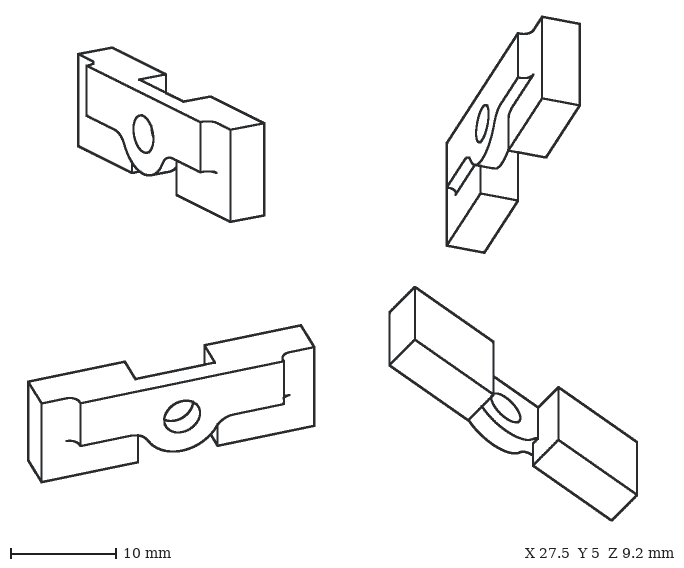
import cadquery as cq
import math

length = 27.5
height = 9.2
block_depth = 3.8

plate_rise = 1.2
plate_half_length = 10.25
plate_height = 5.0
cove_radius = 1.0
lobe_radius = 4.0
blend_radius = 2.0
hole_diameter = 3.6
hole_depth_below_top = 4.02

slot_width = 8.0
web_thickness = 2.0

front_y = -(block_depth + plate_rise) / 2
step_y = front_y + plate_rise
back_y = step_y + block_depth
top_z = height / 2
plate_bottom_z = top_z - plate_height
hole_z = top_z - hole_depth_below_top


def extrude_back(outline, start_y, depth):
    """Extrude a closed XZ outline toward +Y from start_y."""
    return outline.extrude(-depth).translate((0, start_y, 0))


def lobed_outline(half_length):
    """Plate outline whose lower edge blends tangentially into the hole lobe."""
    blend_z = plate_bottom_z - blend_radius
    drop = hole_z - blend_z
    blend_x = math.sqrt((lobe_radius + blend_radius) ** 2 - drop**2)
    joint_fraction = lobe_radius / (lobe_radius + blend_radius)
    joint_x = blend_x * joint_fraction
    joint_z = hole_z - drop * joint_fraction

    joint_angle = math.atan2(drop, -blend_x)
    middle_angle = (math.pi / 2 + joint_angle) / 2
    middle_x = blend_x + blend_radius * math.cos(middle_angle)
    middle_z = blend_z + blend_radius * math.sin(middle_angle)
    return (
        cq.Workplane("XZ")
        .moveTo(-half_length, top_z)
        .lineTo(-half_length, plate_bottom_z)
        .lineTo(-blend_x, plate_bottom_z)
        .threePointArc((-middle_x, middle_z), (-joint_x, joint_z))
        .threePointArc((0, hole_z - lobe_radius), (joint_x, joint_z))
        .threePointArc((middle_x, middle_z), (blend_x, plate_bottom_z))
        .lineTo(half_length, plate_bottom_z)
        .lineTo(half_length, top_z)
        .close()
    )


def end_block(side):
    """Full-height block at one end; side is -1 or +1."""
    block_length = (length - slot_width) / 2
    center_x = side * (length - block_length) / 2
    return cq.Workplane("XY").box(block_length, block_depth, height).translate(
        (center_x, step_y + block_depth / 2, 0)
    )


def cove(side):
    """Concave fillet where one end of the plate meets its end block."""
    root_x = side * plate_half_length
    center_x = root_x + side * cove_radius
    center_y = step_y - cove_radius
    arc_offset = cove_radius * math.sqrt(0.5)
    return (
        cq.Workplane("XY", origin=(0, 0, plate_bottom_z))
        .moveTo(root_x, step_y)
        .lineTo(root_x, center_y)
        .threePointArc((center_x - side * arc_offset, center_y + arc_offset), (center_x, step_y))
        .close()
        .extrude(plate_height)
    )


result = extrude_back(lobed_outline(plate_half_length), front_y, web_thickness)
for side in (-1, 1):
    result = result.union(end_block(side)).union(cove(side))

hole = cq.Workplane("XZ").center(0, hole_z).circle(hole_diameter / 2)
result = result.cut(extrude_back(hole, front_y, back_y - front_y))